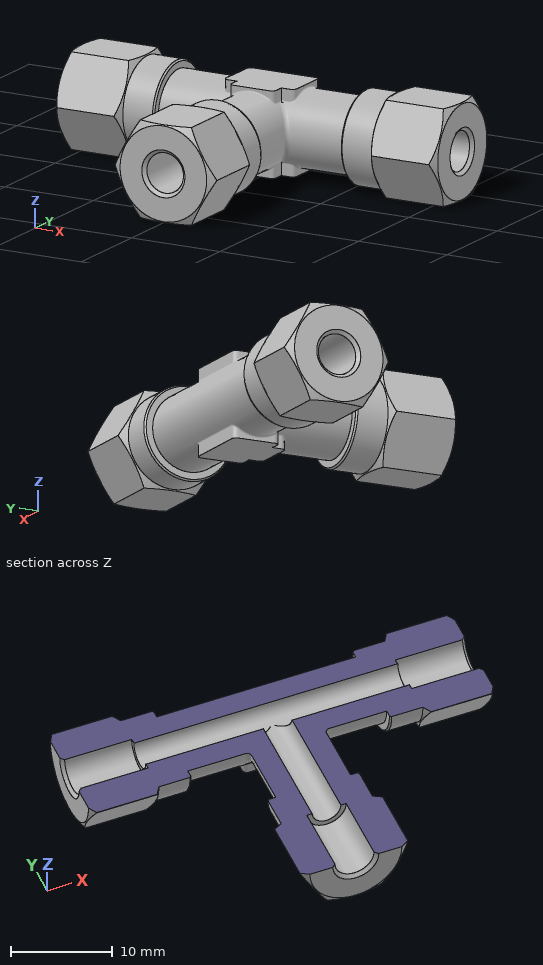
import cadquery as cq
import math

arm_length = 21.55
tube_diameter = 8.0
crotch_radius = 0.45

nut_flats = 10.0
nut_corners = nut_flats / math.cos(math.pi / 6)
nut_length = 7.5
nut_bevel_diameter = 9.8
nut_bevel_angle = 30.0
collar_diameter = 9.8
collar_length = 3.5
collar_chamfer = 0.17

bore_diameter = 3.0
socket_diameter = 4.15
socket_depth = nut_length
socket_mouth_diameter = 4.87

pad_reach = tube_diameter / 2
pad_width = 5.05
pad_height = 8.95
pad_corner_radius = 0.5
pad_foot_radius = 0.2

branch_angle = 270
arm_angles = (0, 180, branch_angle)

match_tolerance = 0.0005


def rod(diameter, start, length):
    """Cylinder along +X."""
    return cq.Workplane("YZ", origin=(start, 0, 0)).circle(diameter / 2).extrude(length)


def on_arm(shape, angle):
    """Turn a shape built along +X onto the arm at the given angle."""
    return shape.rotate((0, 0, 0), (0, 0, 1), angle)


def nut():
    """Hexagon with both ends bevelled by a cone, corners pointing sideways in the XY plane."""
    start = arm_length - nut_length
    hexagon = cq.Workplane("YZ", origin=(start, 0, 0)).polygon(6, nut_corners).extrude(nut_length)
    bevel_width = (nut_corners - nut_bevel_diameter) / 2
    bevel_depth = bevel_width * math.tan(math.radians(nut_bevel_angle))
    envelope = rod(nut_corners, start, nut_length).edges("%CIRCLE").chamfer(bevel_depth, bevel_width)
    return hexagon.intersect(envelope)


def collar():
    """Round neck on the inner side of the nut."""
    start = arm_length - nut_length - collar_length
    return rod(collar_diameter, start, collar_length).faces("<X").chamfer(collar_chamfer)


def arm_bore():
    """Through bore with a wider socket and a bevelled mouth."""
    mouth_chamfer = (socket_mouth_diameter - socket_diameter) / 2
    socket = rod(socket_diameter, arm_length - socket_depth, socket_depth)
    mouth = (
        cq.Workplane("YZ", origin=(arm_length, 0, 0))
        .circle(socket_mouth_diameter / 2)
        .workplane(offset=-mouth_chamfer)
        .circle(socket_diameter / 2)
        .loft()
    )
    return rod(bore_diameter, 0, arm_length).union(socket).union(mouth)


def tubes():
    """Three equal tubes meeting at the origin."""
    run = rod(tube_diameter, -arm_length, 2 * arm_length)
    return run.union(on_arm(rod(tube_diameter, 0, arm_length), branch_angle))


def pads():
    """T-shaped block whose top and bottom stand proud of the tubes, outer corners rounded."""
    bar = cq.Workplane("XY").box(2 * pad_reach, pad_width, pad_height)
    bar = bar.edges("|Z").fillet(pad_corner_radius)
    leg = cq.Workplane("XY").box(pad_width, pad_reach, pad_height).translate((0, -pad_reach / 2, 0))
    leg = leg.edges("|Z and <Y").fillet(pad_corner_radius)
    return bar.union(leg)


def is_pad_foot(edge):
    """True for the arcs where the end walls of the pads meet the tubes."""
    box = edge.BoundingBox()
    touches_crest = math.isclose(max(box.zmax, -box.zmin), tube_diameter / 2, abs_tol=match_tolerance)
    in_zone = max(abs(box.xmin), abs(box.xmax), abs(box.ymin), abs(box.ymax)) < pad_reach + match_tolerance
    return touches_crest and in_zone


def body():
    """Tubes and pads, with a blend in both crotches and at the foot of every pad end."""
    crossing = tubes().union(pads())
    tee = crossing.edges("%ELLIPSE").fillet(crotch_radius)
    foot_edges = tee.edges("%CIRCLE").filter(is_pad_foot).vals()
    return tee.newObject(foot_edges).fillet(pad_foot_radius)


result = body()
for angle in arm_angles:
    result = result.union(on_arm(nut().union(collar()), angle))
for angle in arm_angles:
    result = result.cut(on_arm(arm_bore(), angle))